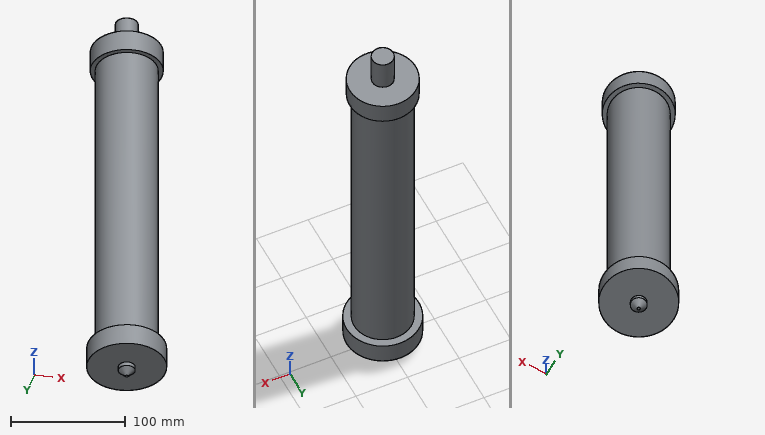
import cadquery as cq

tip_diameter = 15.0
tip_length = 10.0
tip_chamfer = 6.0
base_diameter = 70.0
base_thickness = 20.0
body_diameter = 55.0
cap_diameter = 64.0
cap_thickness = 20.0
pin_diameter = 20.0
pin_length = 30.0
total_length = 380.0

base_bottom = tip_length
base_top = base_bottom + base_thickness
cap_top = total_length - pin_length
cap_bottom = cap_top - cap_thickness


def cylinder(diameter, bottom, top):
    """Cylinder on the Z axis between two levels."""
    return cq.Workplane("XY").workplane(offset=bottom).circle(diameter / 2).extrude(top - bottom)


tip = cylinder(tip_diameter, 0, base_bottom).faces("<Z").chamfer(tip_chamfer)
base = cylinder(base_diameter, base_bottom, base_top)
body = cylinder(body_diameter, base_top, cap_bottom)
cap = cylinder(cap_diameter, cap_bottom, cap_top)
pin = cylinder(pin_diameter, cap_top, total_length)

result = tip.union(base).union(body).union(cap).union(pin)